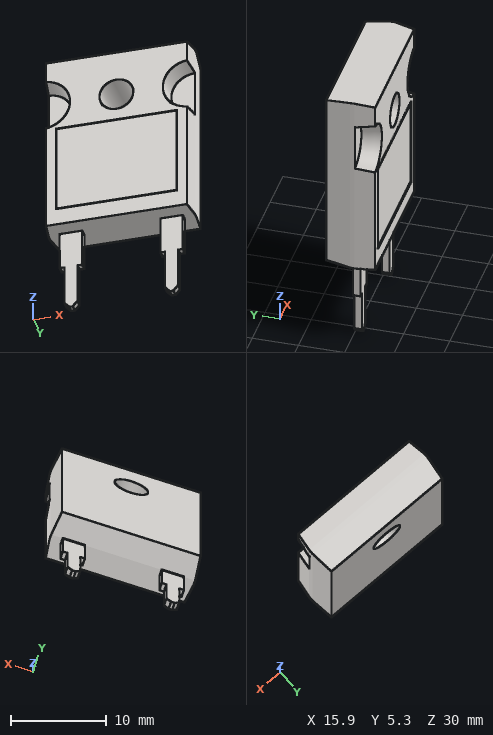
import cadquery as cq

overall_height = 30
body_width = 15.87
body_height = 20.7
front_depth = 2.13
band_depth = 0.5
back_depth = 2.67
draft_inset = 0.3

hole_height = 15.15
hole_radius = 1.83
notch_face_radius = 2.9
notch_floor_radius = 2.58

panel_width = 13.05
panel_height = 10.02
panel_bottom = 1.98
panel_depth = 0.1

lead_length = overall_height - body_height
lead_spacing = 10.9
lead_front = -0.27
lead_thickness = 0.85
shoulder_width = 2.43
shoulder_length = 4.25
pin_width = 1.4
tip_width = 0.4
tip_length = 0.57

backward = cq.Vector(0, 1, 0)


def outline(y, side_inset, top_inset, bottom_inset):
    """Closed rectangular wire of the body at depth y."""
    half_width = body_width / 2 - side_inset
    top = body_height - top_inset
    corners = [
        (-half_width, y, bottom_inset),
        (half_width, y, bottom_inset),
        (half_width, y, top),
        (-half_width, y, top),
    ]
    return cq.Wire.makePolygon([cq.Vector(*corner) for corner in corners], close=True)


def loft(first, second):
    """Straight-sided solid between two outlines."""
    return cq.Workplane(obj=cq.Solid.makeLoft([first, second], True))


def make_body():
    """Band with a drafted half on each side of it."""
    band_front_outline = outline(0, 0, 0, 0)
    band_back_outline = outline(band_depth, 0, 0, 0)
    front_outline = outline(-front_depth, draft_inset, draft_inset, 0)
    back_outline = outline(band_depth + back_depth, draft_inset, draft_inset, draft_inset)
    front = loft(front_outline, band_front_outline)
    band = loft(band_front_outline, band_back_outline)
    back = loft(band_back_outline, back_outline)
    return front.union(band).union(back)


def mounting_hole():
    """Round cut through the full depth of the body."""
    total_depth = front_depth + band_depth + back_depth
    start = cq.Vector(0, -front_depth, hole_height)
    cylinder = cq.Solid.makeCylinder(hole_radius, total_depth, start, backward)
    return cq.Workplane(obj=cylinder)


def side_notch(side):
    """Conical cut centred on a side edge, narrowing from the front face to the band."""
    start = cq.Vector(side * body_width / 2, -front_depth, hole_height)
    cone = cq.Solid.makeCone(notch_face_radius, notch_floor_radius, front_depth, start, backward)
    return cq.Workplane(obj=cone)


def label_panel():
    """Shallow rectangular recess cut in the front face."""
    panel = cq.Workplane("XY").box(panel_width, panel_depth, panel_height, centered=(True, False, False))
    return panel.translate((0, -front_depth, panel_bottom))


def lead(side):
    """Flat lead: wide shoulder, narrow pin and a bevelled tip."""
    half_profile = [
        (shoulder_width / 2, 0),
        (shoulder_width / 2, -shoulder_length),
        (pin_width / 2, -shoulder_length),
        (pin_width / 2, tip_length - lead_length),
        (tip_width / 2, -lead_length),
    ]
    mirrored = [(-x, z) for x, z in reversed(half_profile)]
    return (
        cq.Workplane("XZ")
        .polyline(half_profile + mirrored)
        .close()
        .extrude(-lead_thickness)
        .translate((side * lead_spacing / 2, lead_front, 0))
    )


result = make_body().cut(mounting_hole()).cut(label_panel())
for side in (-1, 1):
    result = result.cut(side_notch(side)).union(lead(side))